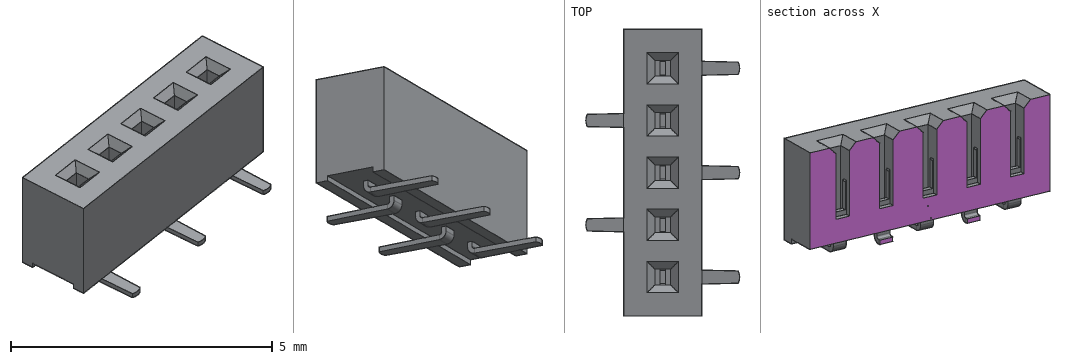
import cadquery as cq

contact_count = 5
pitch = 1.0

body_width = 1.5
end_margin = 0.75
body_length = (contact_count - 1) * pitch + 2 * end_margin
overall_height = 2.25
standoff = 0.15
groove_width = 1.0
groove_depth = 0.1
groove_top = standoff + groove_depth

mouth_size = 0.6
hole_size = 0.3
lead_in_depth = (mouth_size - hole_size) / 2
hole_depth = 1.5
hole_floor = overall_height - hole_depth

thickness = 0.1
contact_width = 0.3
tine_gap = 0.25
tine_chamfer = (hole_size - tine_gap) / 2
tine_height = 0.7
web_height = 0.1
bend_inner_radius = 0.05
bend_outer_radius = bend_inner_radius + thickness
bend_center_x = thickness / 2 + bend_inner_radius
overall_width = 2.95
foot_reach = overall_width / 2
foot_tip_width = 0.24
foot_tip_bulge = 0.03


def make_housing():
    """Rectangular block with a groove along the full length of its underside."""
    block = cq.Workplane("XY", origin=(0, 0, standoff)).box(
        body_width, body_length, overall_height - standoff, centered=(True, True, False)
    )
    groove = cq.Workplane("XY", origin=(0, 0, standoff)).box(
        groove_width, body_length, groove_depth, centered=(True, True, False)
    )
    return block.cut(groove)


def make_opening(y):
    """Square hole with a tapered mouth, as a cutting solid."""
    hole = cq.Workplane("XY", origin=(0, y, hole_floor)).box(
        hole_size, hole_size, hole_depth, centered=(True, True, False)
    )
    mouth = (
        cq.Workplane("XY", origin=(0, y, overall_height))
        .rect(mouth_size, mouth_size)
        .workplane(offset=-lead_in_depth)
        .rect(hole_size, hole_size)
        .loft()
    )
    return hole.union(mouth)


def make_fork(y):
    """Thin U-shaped contact in the hole, with chamfered tine tips."""
    half_hole = hole_size / 2
    half_gap = tine_gap / 2
    web_top = hole_floor + web_height
    tine_top = hole_floor + tine_height
    return (
        cq.Workplane("YZ", origin=(0, y, 0))
        .moveTo(-half_hole, groove_top)
        .lineTo(half_hole, groove_top)
        .lineTo(half_hole, tine_top)
        .lineTo(half_gap, tine_top - tine_chamfer)
        .lineTo(half_gap, web_top)
        .lineTo(-half_gap, web_top)
        .lineTo(-half_gap, tine_top - tine_chamfer)
        .lineTo(-half_hole, tine_top)
        .close()
        .extrude(thickness / 2, both=True)
    )


def make_bent_stem(y):
    """Stem below the housing, bent towards +X until it lies flat."""
    half_thickness = thickness / 2
    return (
        cq.Workplane("XZ", origin=(0, y, 0))
        .moveTo(-half_thickness, groove_top)
        .lineTo(-half_thickness, bend_outer_radius)
        .radiusArc((bend_center_x, 0), -bend_outer_radius)
        .lineTo(bend_center_x, thickness)
        .radiusArc((half_thickness, bend_outer_radius), bend_inner_radius)
        .lineTo(half_thickness, groove_top)
        .close()
        .extrude(contact_width / 2, both=True)
    )


def make_foot(y):
    """Flat solder foot towards +X, tapering to a rounded end."""
    shoulder_x = foot_reach - foot_tip_bulge
    half_root = contact_width / 2
    half_tip = foot_tip_width / 2
    return (
        cq.Workplane("XY", origin=(0, y, 0))
        .moveTo(bend_center_x, -half_root)
        .lineTo(shoulder_x, -half_tip)
        .threePointArc((foot_reach, 0), (shoulder_x, half_tip))
        .lineTo(bend_center_x, half_root)
        .close()
        .extrude(thickness)
    )


def make_contact(y, points_left):
    """One contact; its foot points to -X when points_left is true."""
    lead = make_bent_stem(y).union(make_foot(y))
    if points_left:
        lead = lead.mirror("YZ")
    return lead.union(make_fork(y))


result = make_housing()
for index in range(contact_count):
    contact_y = (index - (contact_count - 1) / 2) * pitch
    result = result.cut(make_opening(contact_y))
    result = result.union(make_contact(contact_y, points_left=index % 2 == 1))